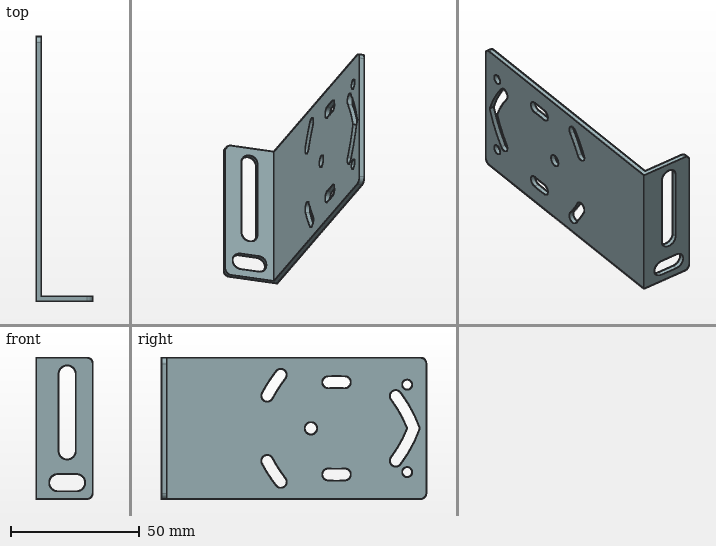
import cadquery as cq
import math

length = 103.0
height = 55.0
flange_width = 22.0
thickness = 2.1
corner_radius = 2.4
mid_z = height / 2

pivot_y = 58.1
pivot_diameter = 4.7
pin_y = 95.5
pin_z = 17.0
pin_diameter = 3.8
slot_width = 4.5
slot_radius = slot_width / 2
side_slot_ends = ((64.8, 17.9), (71.3, 17.9))
side_slot_rise = 0.1
slanted_slot_ends = ((41.1, 12.7), (46.4, 20.8))
slanted_slot_rise = 0.2
chevron_tip = (98.0, 0.0)
chevron_end = (91.1, 12.6)
chevron_rise = 0.5

flange_slot_width = 6.6
flange_slot_margin = 3.1
flange_slot_x = 12.0
tall_slot_length = 36.5
wide_slot_length = 13.9


def arc_center(start, end, rise):
    """Centre and radius of the arc that bows to the left of start -> end by rise."""
    dy = end[0] - start[0]
    dz = end[1] - start[1]
    chord = math.hypot(dy, dz)
    radius = chord**2 / (8 * rise) + rise / 2
    drop = radius - rise
    center = ((start[0] + end[0]) / 2 + drop * dz / chord,
              (start[1] + end[1]) / 2 - drop * dy / chord)
    return center, radius


def on_circle(center, radius, angle):
    return (center[0] + radius * math.cos(angle), center[1] + radius * math.sin(angle))


def angle_to(center, point):
    return math.atan2(point[1] - center[1], point[0] - center[0])


def plate_plane():
    return cq.Workplane("YZ", origin=(0, 0, mid_z))


def curved_slot(start, end, rise):
    """Round-ended cutter whose middle line is an arc."""
    center, radius = arc_center(start, end, rise)
    first = angle_to(center, start)
    last = angle_to(center, end)
    middle = (first + last) / 2
    outer = radius + slot_radius
    inner = radius - slot_radius
    band = (
        plate_plane()
        .moveTo(*on_circle(center, outer, first))
        .threePointArc(on_circle(center, outer, middle), on_circle(center, outer, last))
        .lineTo(*on_circle(center, inner, last))
        .threePointArc(on_circle(center, inner, middle), on_circle(center, inner, first))
        .close()
        .extrude(thickness)
    )
    caps = plate_plane().pushPoints([start, end]).circle(slot_radius).extrude(thickness)
    return band.union(caps)


def chevron_arm():
    """Upper arm of the chevron slot, ending flat on the plate's middle line."""
    center, radius = arc_center(chevron_end, chevron_tip, chevron_rise)
    end_angle = angle_to(center, chevron_end)
    outer = radius + slot_radius
    inner = radius - slot_radius
    outer_angle = math.asin(-center[1] / outer)
    inner_angle = math.asin(-center[1] / inner)
    arm = (
        plate_plane()
        .moveTo(*on_circle(center, outer, outer_angle))
        .threePointArc(on_circle(center, outer, (outer_angle + end_angle) / 2),
                       on_circle(center, outer, end_angle))
        .lineTo(*on_circle(center, inner, end_angle))
        .threePointArc(on_circle(center, inner, (inner_angle + end_angle) / 2),
                       on_circle(center, inner, inner_angle))
        .close()
        .extrude(thickness)
    )
    cap = plate_plane().center(*chevron_end).circle(slot_radius).extrude(thickness)
    return arm.union(cap)


def mirrored_pair(cutter):
    """The cutter together with its mirror image about the plate's middle line."""
    return cutter.union(cutter.mirror("XY", (0, 0, mid_z)))


def rounded_plate():
    plate = cq.Workplane("XY").box(thickness, length, height, centered=False)
    return plate.edges("|X and >Y").fillet(corner_radius)


def rounded_flange():
    flange = cq.Workplane("XY").box(flange_width, thickness, height, centered=False)
    return flange.edges("|Y and >X").fillet(corner_radius)


def flange_slot(z, slot_length, angle):
    return (
        cq.Workplane("XZ", origin=(flange_slot_x, thickness, z))
        .slot2D(slot_length, flange_slot_width, angle)
        .extrude(thickness)
    )


result = rounded_plate().union(rounded_flange())

result = result.cut(plate_plane().center(pivot_y, 0).circle(pivot_diameter / 2).extrude(thickness))
pin_places = [(pin_y, pin_z), (pin_y, -pin_z)]
result = result.cut(plate_plane().pushPoints(pin_places).circle(pin_diameter / 2).extrude(thickness))

for cutter in (
    curved_slot(*side_slot_ends, side_slot_rise),
    curved_slot(*slanted_slot_ends, slanted_slot_rise),
    chevron_arm(),
):
    result = result.cut(mirrored_pair(cutter))

tall_slot_z = height - flange_slot_margin - tall_slot_length / 2
wide_slot_z = flange_slot_margin + flange_slot_width / 2
result = result.cut(flange_slot(tall_slot_z, tall_slot_length, 90))
result = result.cut(flange_slot(wide_slot_z, wide_slot_length, 0))